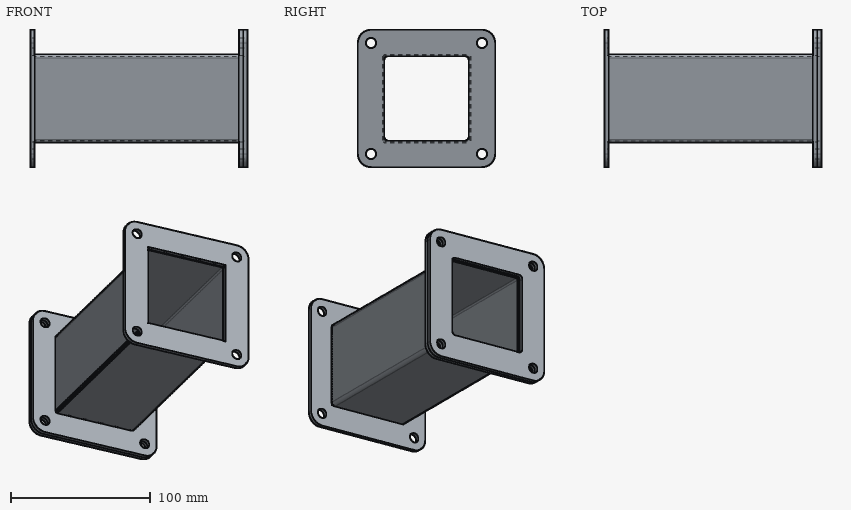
import cadquery as cq

INCH = 25.4

tube_length = 5.75 * INCH
tube_width = 2.5 * INCH
sheet_thickness = INCH / 16
bend_inner_radius = 1.15
bend_outer_radius = bend_inner_radius + sheet_thickness
bore_width = tube_width - 2 * sheet_thickness
seam_gap = 0.1

plate_width = 3.875 * INCH
plate_thickness = INCH / 8
plate_corner_radius = 0.375 * INCH
bolt_spacing = 3.125 * INCH
bolt_hole_diameter = 0.281 * INCH
flange_window_width = 2.4375 * INCH
backing_window_width = 2.375 * INCH
backing_window_radius = 0.11 * INCH

total_length = tube_length + 3 * plate_thickness
front_flange_x = -total_length / 2
tube_x = front_flange_x + plate_thickness
rear_flange_x = tube_x + tube_length
backing_plate_x = rear_flange_x + plate_thickness


def square_bar(x_start, length, width):
    """Square bar along X with sharp edges."""
    return cq.Workplane("YZ", origin=(x_start, 0, 0)).rect(width, width).extrude(length)


def rounded_bar(x_start, length, width, radius):
    """Square bar along X with its four long edges rounded."""
    return square_bar(x_start, length, width).edges("|X").fillet(radius)


def folded_bar(width, radius):
    """Square bar of the tube's length, rounded at every corner but the seam's."""
    bar = square_bar(tube_x, tube_length, width)
    return bar.edges("|X").edges(">Z or <Y").fillet(radius)


def make_tube():
    """Folded sheet tube: three rounded bends, and a fourth corner left open as the seam."""
    outside = folded_bar(tube_width, bend_outer_radius)
    bore = folded_bar(bore_width, bend_inner_radius)
    notch_width = sheet_thickness + seam_gap
    notch_center = tube_width / 2 - notch_width / 2
    notch = square_bar(tube_x, tube_length, notch_width)
    notch = notch.translate((0, notch_center, -notch_center))
    return outside.cut(bore).cut(notch)


def make_plate(x_start, window):
    """Rounded square plate with the given window and four bolt holes."""
    blank = rounded_bar(x_start, plate_thickness, plate_width, plate_corner_radius)
    bolt_holes = (
        cq.Workplane("YZ", origin=(x_start, 0, 0))
        .rect(bolt_spacing, bolt_spacing, forConstruction=True)
        .vertices()
        .circle(bolt_hole_diameter / 2)
        .extrude(plate_thickness)
    )
    return blank.cut(window).cut(bolt_holes)


def make_flange(x_start):
    """End flange: its sharp-cornered window leaves the end of the tube wall visible."""
    window = square_bar(x_start, plate_thickness, flange_window_width)
    return make_plate(x_start, window)


def make_backing_plate():
    """Plate behind the rear flange, with a smaller round-cornered window."""
    window = rounded_bar(backing_plate_x, plate_thickness, backing_window_width, backing_window_radius)
    return make_plate(backing_plate_x, window)


tube = make_tube()
flanges = [make_flange(x) for x in (front_flange_x, rear_flange_x)]
backing_plate = make_backing_plate()

result = cq.Compound.makeCompound([
    tube.val(),
    *[flange.val() for flange in flanges],
    backing_plate.val(),
])